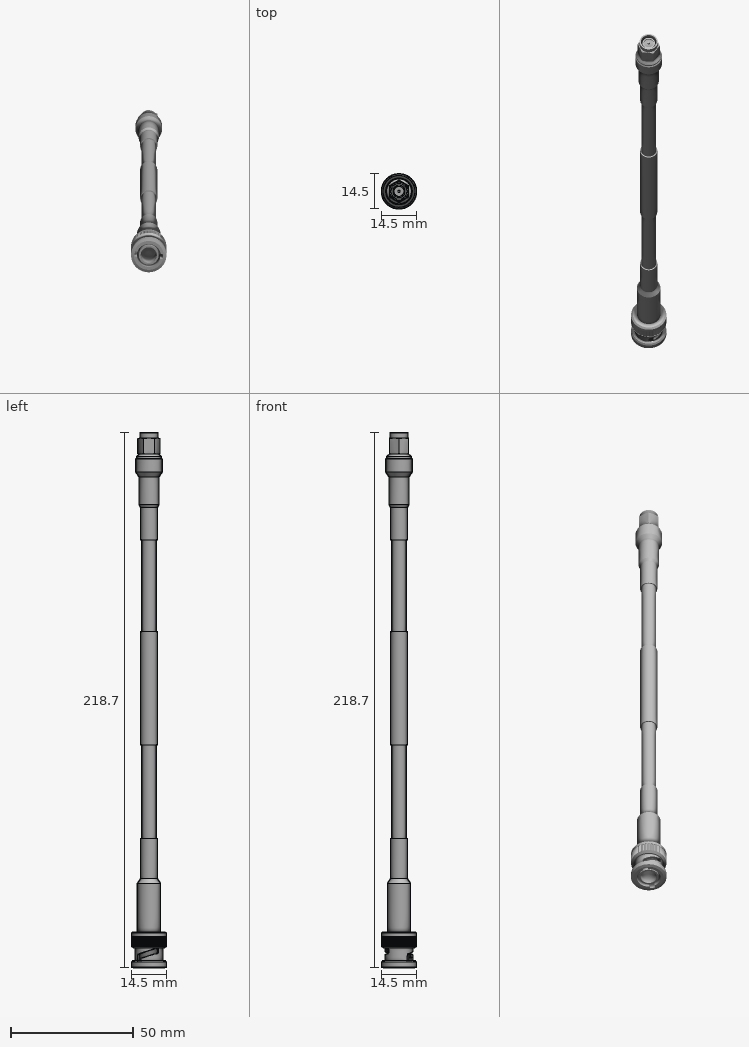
import cadquery as cq
import math

total_length = 218.72
coupling_radius = 14.46 / 2

cable_radius = 3.05
band_radius = 3.5
band_bottom = 91.2
band_top = 137.4

ferrule_radius = 3.5
bnc_ferrule_bottom = 36.55
bnc_ferrule_top = 53.0
sma_ferrule_bottom = 174.9
sma_ferrule_top = 188.1

flange_edge_radius = 6.1
flange_bottom_chamfer = 0.35
flange_shoulder = 2.4
flange_top = 3.0
flange_top_radius = 6.7
drum_radius = 5.8
drum_bore_radius = 4.85
drum_bore_depth = 9.0

contact_sleeve_radius = 4.05
contact_sleeve_bore = 3.3
contact_sleeve_bottom = 0.5

ring_bottom = 8.2
ring_bottom_radius = 6.3
knurl_bottom = 8.9
knurl_top = 12.9
ring_shoulder = 14.25
ring_top = 14.75
ring_top_radius = 6.5
knurl_count = 72
knurl_depth = 0.25

bnc_body_radius = 4.8
bnc_body_top = 34.6

slot_count = 2
slot_width = 2.1
slot_entry_angle = 136
slot_end_angle = 211
slot_entry_height = 4.8
slot_end_height = 7.0
slot_end_hole_radius = 1.25
slot_overcut = 0.4

sma_body_radius = 4.15
sma_body_bottom = 189.4
sma_body_top = 200.6
collar_radius = 5.45
collar_bottom = 202.6
collar_top = 207.9
shoulder_radius = 5.1
shoulder_bottom = 208.2
shoulder_top = 208.9
neck_radius = 4.7
neck_bottom = 209.3

hex_flats = 7.95
hex_turn = 30
hex_bottom = 209.9
hex_top = 216.5
hex_chamfer_height = 0.3
rim_radius = 3.75
mating_bore_radius = 3.2
mating_bore_depth = 4.0
contact_tube_radius = 2.55
contact_tube_height = 3.0
dielectric_radius = 2.05
dielectric_height = 2.5
pin_radius = 0.46
pin_height = 3.5


def cylinder(radius, bottom, top):
    """Round bar on the Z axis between two heights."""
    return cq.Workplane("XY").workplane(offset=bottom).circle(radius).extrude(top - bottom)


def turned(profile):
    """Solid of revolution about Z from (radius, height) points listed upward."""
    outline = [(0, profile[0][1])] + profile + [(0, profile[-1][1])]
    return cq.Workplane("XZ").polyline(outline).close().revolve(360, (0, 0, 0), (0, 1, 0))


def make_cable():
    cable = cylinder(cable_radius, bnc_ferrule_bottom, sma_ferrule_top)
    return cable.union(cylinder(band_radius, band_bottom, band_top))


def make_ferrule(bottom, top):
    return cylinder(ferrule_radius, bottom, top).cut(cylinder(cable_radius, bottom, top))


def radial_bar(radius, angle, height):
    """Round cutter pointing outward through the drum wall."""
    direction = cq.Vector(math.cos(math.radians(angle)), math.sin(math.radians(angle)), 0)
    start = direction * (drum_bore_radius - slot_overcut) + cq.Vector(0, 0, height)
    length = drum_radius - drum_bore_radius + 2 * slot_overcut
    return cq.Workplane(obj=cq.Solid.makeCylinder(radius, length, start, direction))


def make_bayonet_slot():
    """Axial entry through the flange, helical ramp, and the round seat at its end."""
    rise = slot_end_height - slot_entry_height
    pitch = rise * 360 / (slot_end_angle - slot_entry_angle)
    mean_radius = (drum_radius + drum_bore_radius) / 2
    wall = drum_radius - drum_bore_radius + 2 * slot_overcut
    helix = cq.Workplane(obj=cq.Wire.makeHelix(pitch, rise, mean_radius))
    ramp = cq.Workplane("XZ").center(mean_radius, 0).rect(wall, slot_width).sweep(helix, isFrenet=True)
    ramp = ramp.rotate((0, 0, 0), (0, 0, 1), slot_entry_angle).translate((0, 0, slot_entry_height))
    entry = (
        cq.Workplane("XY")
        .box(drum_radius, slot_width, slot_entry_height, centered=(False, True, False))
        .intersect(cylinder(drum_radius, 0, slot_entry_height))
        .rotate((0, 0, 0), (0, 0, 1), slot_entry_angle)
    )
    seat = radial_bar(slot_end_hole_radius, slot_end_angle, slot_end_height)
    corner = radial_bar(slot_width / 2, slot_entry_angle, slot_entry_height)
    return ramp.union(entry).union(corner).union(seat)


def cut_knurl(ring):
    """V-grooves parallel to Z around the ring."""
    cutter_half_width = 2 * math.pi * coupling_radius / knurl_count
    groove = (
        cq.Workplane("XY")
        .workplane(offset=knurl_bottom)
        .polyline([
            (coupling_radius - knurl_depth, 0),
            (coupling_radius + knurl_depth, cutter_half_width),
            (coupling_radius + knurl_depth, -cutter_half_width),
        ])
        .close()
        .extrude(knurl_top - knurl_bottom)
        .val()
    )
    step = 360 / knurl_count
    grooves = [groove.rotate(cq.Vector(), cq.Vector(0, 0, 1), i * step) for i in range(knurl_count)]
    return ring.cut(cq.Workplane(obj=cq.Compound.makeCompound(grooves)))


def make_bnc_plug():
    ring = turned([
        (ring_bottom_radius, ring_bottom),
        (coupling_radius, knurl_bottom),
        (coupling_radius, ring_shoulder),
        (ring_top_radius, ring_top),
    ])
    ring = cut_knurl(ring)
    front = turned([
        (flange_edge_radius, 0),
        (coupling_radius, flange_bottom_chamfer),
        (coupling_radius, flange_shoulder),
        (flange_top_radius, flange_top),
        (drum_radius, flange_top),
        (drum_radius, ring_bottom),
    ])
    rear = turned([
        (bnc_body_radius, ring_top),
        (bnc_body_radius, bnc_body_top),
        (ferrule_radius, bnc_ferrule_bottom),
    ])
    slot = make_bayonet_slot()
    for i in range(slot_count):
        front = front.cut(slot.rotate((0, 0, 0), (0, 0, 1), i * 360 / slot_count))
    plug = front.union(ring).union(rear)
    plug = plug.cut(cylinder(drum_bore_radius, 0, drum_bore_depth))
    sleeve = cylinder(contact_sleeve_radius, contact_sleeve_bottom, drum_bore_depth)
    sleeve = sleeve.cut(cylinder(contact_sleeve_bore, contact_sleeve_bottom, drum_bore_depth))
    return plug.union(sleeve)


def make_hex_nut():
    corner_diameter = hex_flats / math.cos(math.pi / 6)
    nut = (
        cq.Workplane("XY")
        .workplane(offset=hex_bottom)
        .polygon(6, corner_diameter)
        .extrude(hex_top - hex_bottom)
        .rotate((0, 0, 0), (0, 0, 1), hex_turn)
    )
    corner_radius = corner_diameter / 2
    envelope = turned([
        (hex_flats / 2, hex_bottom),
        (corner_radius, hex_bottom + hex_chamfer_height),
        (corner_radius, hex_top - hex_chamfer_height),
        (hex_flats / 2, hex_top),
    ])
    return nut.intersect(envelope)


def make_sma_plug():
    plug = turned([
        (ferrule_radius, sma_ferrule_top),
        (sma_body_radius, sma_body_bottom),
        (sma_body_radius, sma_body_top),
        (collar_radius, collar_bottom),
        (collar_radius, collar_top),
        (shoulder_radius, shoulder_bottom),
        (shoulder_radius, shoulder_top),
        (neck_radius, neck_bottom),
        (hex_flats / 2, hex_bottom),
    ])
    plug = plug.union(make_hex_nut()).union(cylinder(rim_radius, hex_top, total_length))
    bore_floor = total_length - mating_bore_depth
    plug = plug.cut(cylinder(mating_bore_radius, bore_floor, total_length))
    tube = cylinder(contact_tube_radius, bore_floor, bore_floor + contact_tube_height)
    tube_mouth = cylinder(dielectric_radius, bore_floor + dielectric_height, bore_floor + contact_tube_height)
    plug = plug.union(tube.cut(tube_mouth))
    return plug.union(cylinder(pin_radius, bore_floor, bore_floor + pin_height))


cable = make_cable()
ferrule_ends = [(bnc_ferrule_bottom, bnc_ferrule_top), (sma_ferrule_bottom, sma_ferrule_top)]
ferrules = [make_ferrule(bottom, top) for bottom, top in ferrule_ends]
bnc_plug = make_bnc_plug()
sma_plug = make_sma_plug()

result = cq.Compound.makeCompound([
    cable.val(),
    *[ferrule.val() for ferrule in ferrules],
    bnc_plug.val(),
    sma_plug.val(),
])